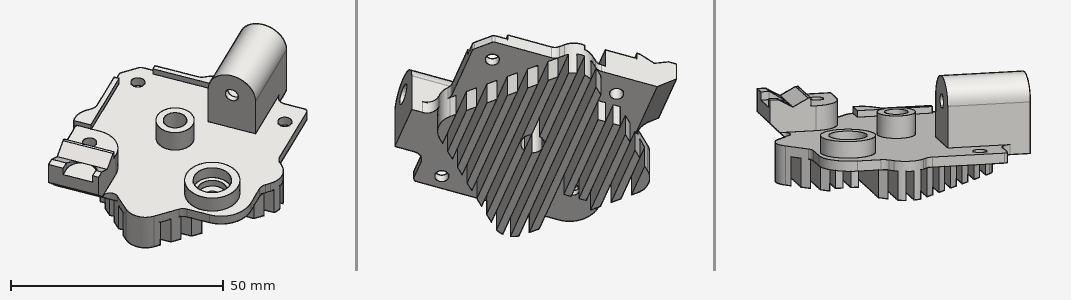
import cadquery as cq
import math


width = 52.4
length = 58.15
total_height = 25.5

plate_thickness = 2.45
plate_left = -20.75
plate_right_upper = 25.45
plate_right_lower = 25.3
plate_back = 20.95
plate_front = -23.1
back_left_chamfer = 3.85
back_corner_radius = 1.0
front_right_radius = 7.5
neck_radius = 2.5
tower_neck_radius = 3.0

diamond_x = 2.25
diamond_y = -3.6
diamond_reach = width / 2
lobe_radius = 5.0
fin_height = 7.05
slot_count = 13
slot_width = 1.9
slot_span = 47.15

rim_height = 4.0
rim_width = 1.3
left_rim_front = -4.65
left_rim_back = 13.55
back_rim_left = -13.4

tower_x = 11.1
tower_length = 20.05
tower_radius = 6.0
tower_height = total_height - fin_height
tower_bore = 3.3
tower_back_bore = 5.0
tower_front_wall = 1.5

screw_hole = 3.3
screw_offset = 15.5
back_right_hole = (21.9, 14.9)
head_clearance = 3.45
bushing_diameter = 9.0
bushing_bore = 5.5
bushing_height = 5.4
seat_diameter = 13.0
seat_height = 4.0
seat_bore = 9.0
seat_bore_depth = 3.0
seat_step = 7.0
seat_step_depth = 4.75

clip_width = 12.7
clip_back = -10.8
clip_front = -28.65
clip_top = 8.45
clip_corner_radius = 6.7
ridge_height = 10.4
ridge_back = -18.7
ridge_flat = 0.65
groove_y = -23.1
lip_back = -26.6
clip_toe_height = 4.9
clip_neck_radius = 1.85
notch_width = 7.45
notch_x = -13.3

clip_right = plate_left + clip_width
tower_back = diamond_y - diamond_reach + length
bushing_top = plate_thickness + bushing_height
seat_top = plate_thickness + seat_height
seat_floor = seat_top - seat_bore_depth
seat_step_floor = seat_top - seat_step_depth
lobe_offset = diamond_reach - lobe_radius
flank_reach = lobe_offset + math.sqrt(2) * lobe_radius
slope_start = clip_front + clip_toe_height


def cylinder(x, y, diameter, bottom, top):
    return cq.Workplane("XY", origin=(x, y, bottom)).circle(diameter / 2).extrude(top - bottom)


def box(x_range, y_range, z_range):
    sizes = [end - start for start, end in (x_range, y_range, z_range)]
    return cq.Workplane("XY").box(*sizes, centered=False).translate((x_range[0], y_range[0], z_range[0]))


def diamond(bottom, top):
    """Square standing on its corner, each corner rounded to a lobe."""
    side = math.sqrt(2) * lobe_offset + 2 * lobe_radius
    block = cq.Workplane("XY").rect(side, side).extrude(top - bottom)
    block = block.edges("|Z").fillet(lobe_radius)
    return block.rotate((0, 0, 0), (0, 0, 1), 45).translate((diamond_x, diamond_y, bottom))


def fillet_at(body, points, radius):
    """Round the vertical edges nearest to the given points."""
    for x, y in points:
        nearest = cq.selectors.NearestToPointSelector((x, y, 0))
        body = body.edges("|Z").edges(nearest).fillet(radius)
    return body


def flank_y(x, side):
    """Y of the diamond's straight flank at x; side is +1 for the back, -1 for the front."""
    return diamond_y + side * (flank_reach - abs(x - diamond_x))


def flank_x(y, side):
    """X of the diamond's straight flank at y; side is +1 for the right, -1 for the left."""
    return diamond_x + side * (flank_reach - abs(y - diamond_y))


def lobe_back_y(x):
    """Y of the back lobe's round end at x."""
    return diamond_y + lobe_offset + math.sqrt(lobe_radius**2 - (x - diamond_x) ** 2)


def make_outline():
    """Plate outline, extruded to the height of the rims."""
    tower_left = tower_x - tower_radius
    tower_right = tower_x + tower_radius
    outline = (
        cq.Workplane("XY")
        .moveTo(plate_left, clip_front)
        .lineTo(clip_right, clip_front)
        .lineTo(clip_right, diamond_y)
        .lineTo(diamond_x, diamond_y)
        .lineTo(diamond_x, plate_front)
        .lineTo(plate_right_lower, plate_front)
        .lineTo(plate_right_lower, diamond_y)
        .lineTo(plate_right_upper, diamond_y)
        .lineTo(plate_right_upper, plate_back)
        .lineTo(tower_right, plate_back)
        .lineTo(tower_right, tower_back)
        .lineTo(tower_left, tower_back)
        .lineTo(tower_left, plate_back)
        .lineTo(plate_left + back_left_chamfer, plate_back)
        .lineTo(plate_left, plate_back - back_left_chamfer)
        .close()
        .extrude(rim_height)
        .union(diamond(0, rim_height))
    )
    necks = [
        (plate_left, flank_y(plate_left, 1)),
        (plate_left, flank_y(plate_left, -1)),
        (plate_right_upper, flank_y(plate_right_upper, 1)),
        (plate_right_lower, flank_y(plate_right_lower, -1)),
        (flank_x(plate_front, 1), plate_front),
        (flank_x(plate_back, -1), plate_back),
        (tower_right, plate_back),
    ]
    outline = fillet_at(outline, necks, neck_radius)
    outline = fillet_at(outline, [(tower_left, lobe_back_y(tower_left))], tower_neck_radius)
    outline = fillet_at(outline, [(clip_right, flank_y(clip_right, -1))], clip_neck_radius)
    outline = fillet_at(outline, [(plate_right_lower, plate_front)], front_right_radius)
    back_corners = [
        (plate_right_upper, plate_back),
        (plate_left + back_left_chamfer, plate_back),
        (plate_left, plate_back - back_left_chamfer),
    ]
    return fillet_at(outline, back_corners, back_corner_radius)


def make_plate():
    """Plate with the raised rims and the sloped underside at the clip."""
    outline = make_outline()
    above_plate = (plate_thickness, rim_height)
    plate = outline.intersect(box((-width, width), (-width, width), (0, plate_thickness)))
    left_rim = box((-width, plate_left + rim_width), (left_rim_front, left_rim_back), above_plate)
    back_rim = box((back_rim_left, tower_x), (plate_back - rim_width, width), above_plate)
    for rim in (left_rim, back_rim):
        plate = plate.union(outline.intersect(rim))
    slope = (
        cq.Workplane("YZ", origin=(plate_left, 0, 0))
        .moveTo(slope_start, 0)
        .lineTo(clip_front, 0)
        .lineTo(clip_front, clip_toe_height)
        .close()
        .extrude(diamond_x - plate_left)
    )
    return plate.cut(slope)


def make_fins():
    """Fin field with evenly spaced slots and open pockets around the front screws."""
    fins = diamond(-fin_height, plate_thickness)
    pitch = (slot_span - slot_width) / (slot_count - 1)
    for i in range(slot_count):
        y = diamond_y + (i - (slot_count - 1) / 2) * pitch
        slot = box((-width, width), (y - slot_width / 2, y + slot_width / 2), (-fin_height, 0))
        fins = fins.cut(slot)
    pocket_y = (-screw_offset - head_clearance, -screw_offset + head_clearance)
    pocket_inner = screw_offset - head_clearance
    for pocket_x in ((-width, -pocket_inner), (pocket_inner, width)):
        fins = fins.cut(box(pocket_x, pocket_y, (-fin_height, 0)))
    return fins


def make_tower():
    """Arch-topped block reaching back past the plate."""
    return (
        cq.Workplane("XZ", origin=(tower_x, tower_back, 0))
        .moveTo(-tower_radius, 0)
        .lineTo(tower_radius, 0)
        .lineTo(tower_radius, tower_height - tower_radius)
        .threePointArc((0, tower_height), (-tower_radius, tower_height - tower_radius))
        .close()
        .extrude(tower_length)
    )


def cut_tower_bore(body):
    """Small bore through the front wall, opening into a wider one from the back."""
    axis_z = tower_height - tower_radius
    bores = ((tower_bore, tower_length), (tower_back_bore, tower_length - tower_front_wall))
    for diameter, depth in bores:
        bore = cq.Workplane("XZ", origin=(tower_x, tower_back, axis_z)).circle(diameter / 2).extrude(depth)
        body = body.cut(bore)
    return body


def make_clip():
    """Block with a V groove between a ridge and a notched lip."""
    clip = (
        cq.Workplane("YZ", origin=(plate_left, 0, 0))
        .moveTo(clip_back, 0)
        .lineTo(clip_back, clip_top)
        .lineTo(ridge_back, clip_top)
        .lineTo(ridge_back, ridge_height)
        .lineTo(ridge_back - ridge_flat, ridge_height)
        .lineTo(groove_y, clip_top)
        .lineTo(lip_back, ridge_height)
        .lineTo(clip_front, ridge_height)
        .lineTo(clip_front, clip_toe_height)
        .lineTo(slope_start, 0)
        .close()
        .extrude(clip_width)
    )
    clip = fillet_at(clip, [(clip_right, clip_back)], clip_corner_radius)
    notch_sides = (notch_x - notch_width / 2, notch_x + notch_width / 2)
    notch = cylinder(notch_x, lip_back, notch_width, clip_top, ridge_height)
    notch = notch.union(box(notch_sides, (clip_front, lip_back), (clip_top, ridge_height)))
    notch = notch.intersect(box((plate_left, clip_right), (clip_front, groove_y), (0, ridge_height)))
    return clip.cut(notch)


def cut_round_holes(body):
    """Screw holes, the bushing bore and the stepped seat."""
    screws = [
        (-screw_offset, -screw_offset),
        (screw_offset, -screw_offset),
        (-screw_offset, screw_offset),
        back_right_hole,
    ]
    for x, y in screws:
        body = body.cut(cylinder(x, y, screw_hole, -fin_height, tower_height))
    body = body.cut(cylinder(0, 0, bushing_bore, -fin_height, bushing_top))
    for diameter, floor in ((seat_bore, seat_floor), (seat_step, seat_step_floor)):
        body = body.cut(cylinder(screw_offset, -screw_offset, diameter, floor, seat_top))
    return body


result = (
    make_plate()
    .union(make_fins())
    .union(make_tower())
    .union(make_clip())
    .union(cylinder(0, 0, bushing_diameter, 0, bushing_top))
    .union(cylinder(screw_offset, -screw_offset, seat_diameter, 0, seat_top))
)
result = cut_tower_bore(cut_round_holes(result))